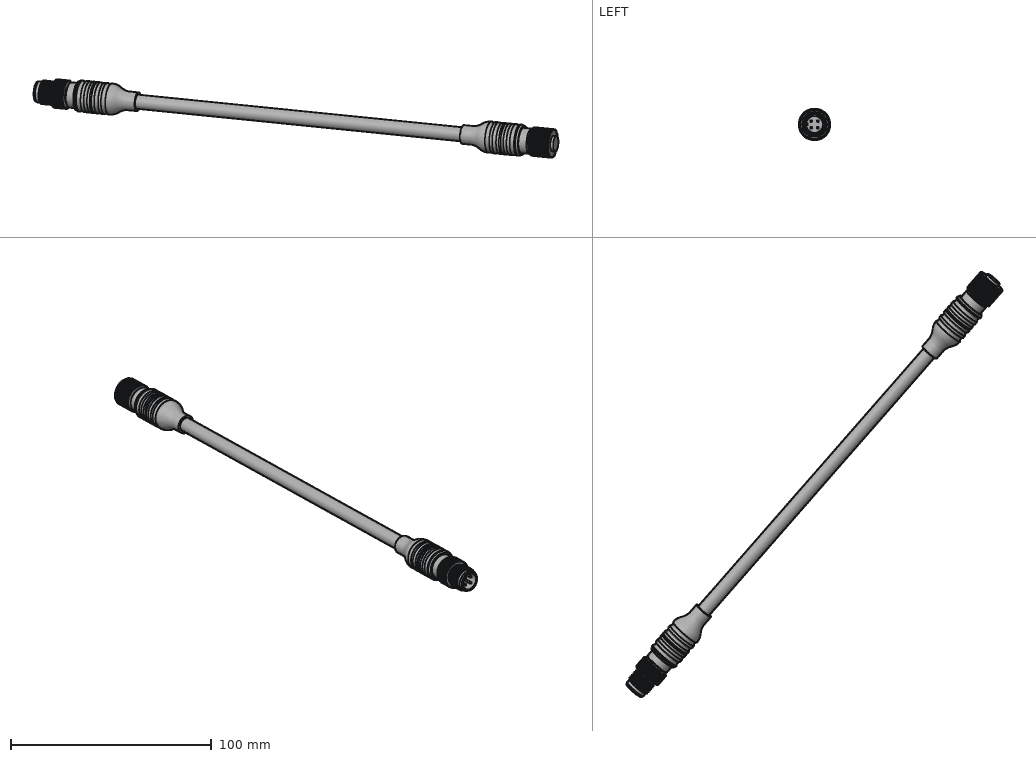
import cadquery as cq
import math

TOTAL_LENGTH = 274.9
PLUG_TIP_X = -TOTAL_LENGTH / 2
SOCKET_TIP_X = TOTAL_LENGTH / 2

CABLE_RADIUS = 3.6
NECK_RADIUS = 4.0
NECK_LENGTH = 1.4
PLUG_NECK_OFFSET = 16.3
SOCKET_NECK_OFFSET = 11.9
COLLAR_RADIUS = 6.4
PLUG_COLLAR_LENGTH = 4.1
SOCKET_COLLAR_LENGTH = 4.2
GRIP_RADIUS = 15.76 / 2
GRIP_LENGTH = 22.0
GRIP_END_RADIUS = 7.3
GRIP_SHOULDER_LENGTH = 1.2
GRIP_TAPER_LENGTH = 4.4
CONE_START_RADIUS = 6.3
CONE_LENGTH = 4.0
CONE_SAG = 0.25
SLEEVE_RADIUS = 4.75
SLEEVE_LENGTH = 5.6

GRIP_GROOVES = (
    (3.0, 2.3, 0.55),
    (6.7, 1.7, 0.25),
    (9.4, 0.9, 0.2),
    (12.4, 2.1, 0.55),
    (16.1, 2.3, 0.55),
)

NUT_RADIUS = 7.2
KNURL_COUNT = 60
KNURL_DEPTH = 0.3
PLUG_NUT_OFFSET = 10.0
SOCKET_NUT_OFFSET = 1.5

TIP_RADIUS = 5.4
TIP_CHAMFER_DEPTH = 0.4
TIP_CHAMFER_LENGTH = 1.0
TIP_LENGTH = 2.8
THREAD_RADIUS = 6.0
THREAD_ROOT_RADIUS = 5.4
THREAD_PITCH = 1.0
THREAD_TURNS = 6

CAVITY_RADIUS = 4.2
CAVITY_DEPTH = 8.5
PIN_RADIUS = 0.5
PIN_CIRCLE_RADIUS = 2.4
PIN_COUNT = 4
PIN_RECESS = 1.0
KEY_WIDTH = 1.0
KEY_HEIGHT = 0.9

INSERT_RADIUS = 4.0

OVERLAP = 0.5


def cylinder(start_x, length, radius, y=0.0, z=0.0):
    """Cylinder along +X starting at start_x."""
    return cq.Workplane("YZ", origin=(start_x, y, z)).circle(radius).extrude(length)


def make_ring_groove(centre_x, width, depth):
    """Cutter for an arc-bottomed groove all round the grip."""
    left_x = centre_x - width / 2
    right_x = centre_x + width / 2
    profile = (
        cq.Workplane("XY")
        .moveTo(left_x, GRIP_RADIUS)
        .threePointArc((centre_x, GRIP_RADIUS - depth), (right_x, GRIP_RADIUS))
        .lineTo(right_x, GRIP_RADIUS + OVERLAP)
        .lineTo(left_x, GRIP_RADIUS + OVERLAP)
        .close()
    )
    return profile.revolve(360, (0, 0, 0), (1, 0, 0))


def make_grip(tip_x, direction, neck_offset, collar_length):
    """Neck, collar, grooved grip, cone and sleeve; direction points from the tip to the cable."""
    collar = neck_offset + NECK_LENGTH
    grip = collar + collar_length
    cone = grip + GRIP_LENGTH
    sleeve = cone + CONE_LENGTH
    sleeve_end = sleeve + SLEEVE_LENGTH
    taper = cone - GRIP_TAPER_LENGTH
    cone_mid = (cone + CONE_LENGTH / 2, (CONE_START_RADIUS + SLEEVE_RADIUS) / 2 - CONE_SAG)

    def place(point):
        """Shift an (offset from tip, radius) pair to its place along X."""
        return (tip_x + direction * point[0], point[1])

    profile = (
        cq.Workplane("XY")
        .moveTo(*place((neck_offset - OVERLAP, 0)))
        .lineTo(*place((neck_offset - OVERLAP, NECK_RADIUS)))
        .lineTo(*place((collar, NECK_RADIUS)))
        .lineTo(*place((collar, COLLAR_RADIUS)))
        .lineTo(*place((grip, COLLAR_RADIUS)))
        .lineTo(*place((grip, GRIP_END_RADIUS)))
        .lineTo(*place((grip + GRIP_SHOULDER_LENGTH, GRIP_RADIUS)))
        .lineTo(*place((taper, GRIP_RADIUS)))
        .tangentArcPoint(place((cone, CONE_START_RADIUS)), relative=False)
        .threePointArc(place(cone_mid), place((sleeve, SLEEVE_RADIUS)))
        .lineTo(*place((sleeve_end, SLEEVE_RADIUS)))
        .lineTo(*place((sleeve_end, 0)))
        .close()
    )
    body = profile.revolve(360, (0, 0, 0), (1, 0, 0))
    for offset, width, depth in GRIP_GROOVES:
        body = body.cut(make_ring_groove(tip_x + direction * (grip + offset), width, depth))
    return body


def make_nut(start_x, length):
    """Coupling nut with straight V-shaped knurling around its rim."""
    outline = []
    for index in range(KNURL_COUNT * 2):
        angle = math.pi * index / KNURL_COUNT
        radius = NUT_RADIUS - KNURL_DEPTH * (index % 2)
        outline.append((radius * math.cos(angle), radius * math.sin(angle)))
    return cq.Workplane("YZ", origin=(start_x, 0, 0)).polyline(outline).close().extrude(length)


def make_thread():
    """Chamfered tip, ridged thread and a plain relief that runs into the plug nut."""
    x = PLUG_TIP_X + TIP_LENGTH
    profile = cq.Workplane("XY").moveTo(PLUG_TIP_X, 0)
    profile = profile.lineTo(PLUG_TIP_X, TIP_RADIUS - TIP_CHAMFER_DEPTH)
    profile = profile.lineTo(PLUG_TIP_X + TIP_CHAMFER_LENGTH, TIP_RADIUS)
    profile = profile.lineTo(x, THREAD_ROOT_RADIUS)
    for _ in range(THREAD_TURNS):
        profile = profile.lineTo(x + THREAD_PITCH / 2, THREAD_RADIUS)
        profile = profile.lineTo(x + THREAD_PITCH, THREAD_ROOT_RADIUS)
        x += THREAD_PITCH
    nut_x = PLUG_TIP_X + PLUG_NUT_OFFSET + OVERLAP
    profile = profile.lineTo(nut_x, THREAD_ROOT_RADIUS).lineTo(nut_x, 0).close()
    return profile.revolve(360, (0, 0, 0), (1, 0, 0))


def make_plug_front():
    """Threaded shell with its contact cavity, pins and coding key on the +Y side."""
    shell = make_thread().cut(cylinder(PLUG_TIP_X, CAVITY_DEPTH, CAVITY_RADIUS))
    inside_x = PLUG_TIP_X + PIN_RECESS
    inside_length = CAVITY_DEPTH - PIN_RECESS + OVERLAP
    for index in range(PIN_COUNT):
        angle = 2 * math.pi * (index + 0.5) / PIN_COUNT
        y = PIN_CIRCLE_RADIUS * math.cos(angle)
        z = PIN_CIRCLE_RADIUS * math.sin(angle)
        shell = shell.union(cylinder(inside_x, inside_length, PIN_RADIUS, y, z))
    key = (
        cq.Workplane("YZ", origin=(inside_x, CAVITY_RADIUS, 0))
        .rect(2 * KEY_HEIGHT, KEY_WIDTH)
        .extrude(inside_length)
    )
    return shell.union(key)


cable_start_x = PLUG_TIP_X + PLUG_NECK_OFFSET
cable_end_x = SOCKET_TIP_X - SOCKET_NECK_OFFSET
socket_nut_length = SOCKET_NECK_OFFSET - SOCKET_NUT_OFFSET

result = cylinder(cable_start_x, cable_end_x - cable_start_x, CABLE_RADIUS)
result = result.union(make_grip(PLUG_TIP_X, 1, PLUG_NECK_OFFSET, PLUG_COLLAR_LENGTH))
result = result.union(make_grip(SOCKET_TIP_X, -1, SOCKET_NECK_OFFSET, SOCKET_COLLAR_LENGTH))
result = result.union(make_nut(PLUG_TIP_X + PLUG_NUT_OFFSET, PLUG_NECK_OFFSET - PLUG_NUT_OFFSET))
result = result.union(make_nut(cable_end_x, socket_nut_length))
result = result.union(make_plug_front())
result = result.union(cylinder(cable_end_x, SOCKET_NECK_OFFSET, INSERT_RADIUS))